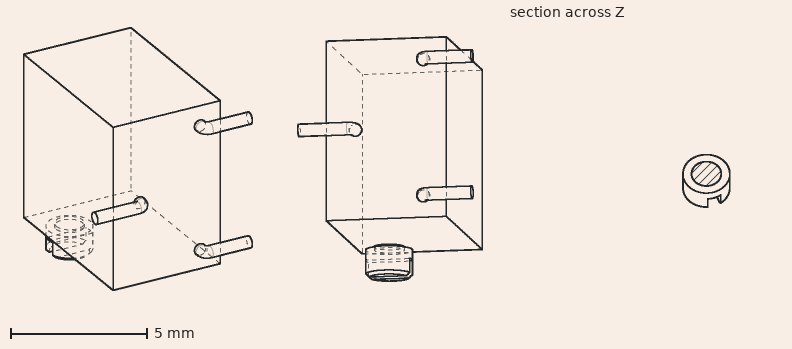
import cadquery as cq

body_x = 6.8
body_y = 4.5
body_z = 6.7

screw_x = 1.2
screw_y = 1.25
neck_diameter = 1.1
neck_length = 0.12
overall_height = 7.85
head_diameter = 1.73
head_length = overall_height - body_z - neck_length
head_chamfer = 0.125
slot_width = 0.5
slot_depth = 0.64

pin_diameter = 0.46
pin_radius = pin_diameter / 2
pin_stub = 0.11
pin_pitch = 2.54
top_pin_z = body_z - 0.82
rear_pin_y = body_y - 0.855
front_pin_y = rear_pin_y - pin_pitch
rear_overhang = 1.03
front_overhang = 0.95


def make_screw():
    """Neck and chamfered head, with a screwdriver slot running along Y."""
    head_bottom = -neck_length - head_length
    neck = cq.Workplane("XY").circle(neck_diameter / 2).extrude(-neck_length)
    head = (
        cq.Workplane("XY")
        .workplane(offset=head_bottom)
        .circle(head_diameter / 2)
        .extrude(head_length)
        .faces("<Z")
        .chamfer(head_chamfer)
    )
    slot = (
        cq.Workplane("XY")
        .workplane(offset=head_bottom)
        .rect(slot_width, head_diameter)
        .extrude(slot_depth)
    )
    return neck.union(head.cut(slot)).translate((screw_x, screw_y, 0))


def make_rear_pin(leg_length):
    """Pin starting along +X at the origin and bent tightly towards +Y."""
    stub = cq.Workplane("YZ").circle(pin_radius).extrude(pin_stub)
    bend = (
        cq.Workplane("YZ", origin=(pin_stub, 0, 0))
        .circle(pin_radius)
        .revolve(90, (pin_radius, 0, 0), (pin_radius, 1, 0))
    )
    leg = (
        cq.Workplane("XZ", origin=(pin_stub + pin_radius, pin_radius, 0))
        .circle(pin_radius)
        .extrude(-leg_length)
    )
    return stub.union(bend).union(leg)


rear_leg = body_y + rear_overhang - rear_pin_y - pin_radius
front_leg = front_pin_y + front_overhang - pin_radius
rear_pin = make_rear_pin(rear_leg)
front_pin = make_rear_pin(front_leg).mirror("XZ")

result = cq.Workplane("XY").box(body_x, body_y, body_z, centered=False)
result = result.union(make_screw())

for pin_z in (top_pin_z, top_pin_z - 2 * pin_pitch):
    result = result.union(rear_pin.translate((body_x, rear_pin_y, pin_z)))
result = result.union(front_pin.translate((body_x, front_pin_y, top_pin_z - pin_pitch)))